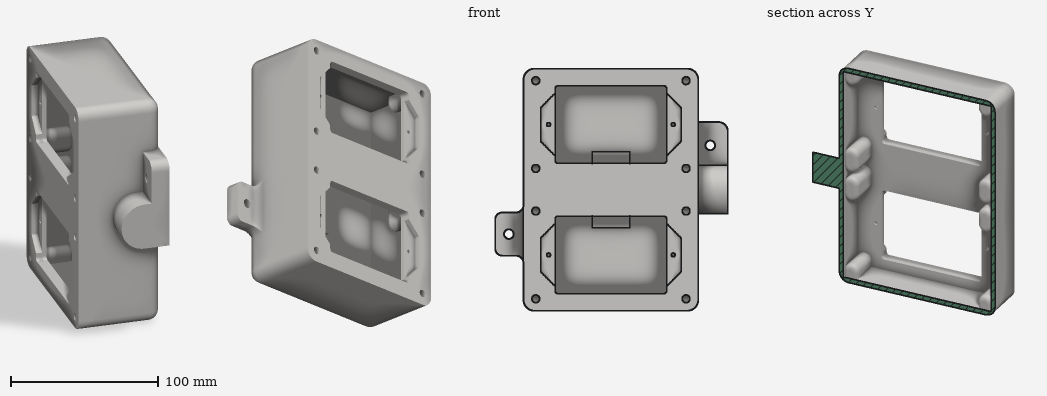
import cadquery as cq
import math

width = 118.8
height = 164.6
depth = 58.5
corner_radius = 7.5
side_wall = 3.3
end_wall = 3.8
back_wall = 4.1
front_wall = 7.5

opening_z = 44.3
opening_width = 75.9
opening_height = 52.8
opening_radius = 2.3
ear_span = 95.3
ear_tip_height = 23.0
ear_tip_radius = 1.5
ear_depth = 4.5
ear_hole_x = 42.3
ear_hole_diameter = 2.6

screw_x = 51.0
screw_offset_z = 29.8
screw_diameter = 5.3
screw_depth = 19.8
drill_point_angle = 118.0
boss_radius = 5.5
boss_stretch = 7.0
boss_end = 29.0
boss_end_round = 3.3

pad_width = 25.5
pad_height = 51.4
pad_thickness = 2.5

tab_hole_diameter = 6.5
tab_hole_z = 30.1

left_tab_reach = 19.3
left_tab_height = 29.5
left_tab_thickness = 10.2
left_tab_radius = 5.0
left_tab_flare = 5.1
left_hole_x = -69.3

right_reach = 20.0
right_tab_top = 46.1
right_tab_thickness = 12.7
right_tab_radius = 6.6
right_hole_x = 67.5
lug_radius = 16.5
lug_axis_from_back = 17.6

left_side = -width / 2
right_side = width / 2
opening_centers = (-opening_z, opening_z)
cavity_x = width / 2 - side_wall
cavity_z = height / 2 - end_wall
cavity_back = depth - back_wall

edge_axis_x = left_side + corner_radius
edge_axis_y = depth - corner_radius
flare_tip_x = left_side - left_tab_flare
flare_inset = left_tab_flare * (1 - math.sqrt(0.5))
flare_mid_x = left_side - flare_inset


def block(x_range, y_range, z_range):
    """Box given by its limits along each axis."""
    size = [high - low for low, high in (x_range, y_range, z_range)]
    corner = (x_range[0], y_range[0], z_range[0])
    return cq.Workplane("XY").box(*size, centered=False).translate(corner)


def rod(x, z, diameter, y_start, y_end):
    """Cylinder along Y."""
    return cq.Workplane("XZ", origin=(x, y_start, z)).circle(diameter / 2).extrude(y_start - y_end)


def make_body():
    """Solid body, rounded along its length and around its back."""
    body = block((left_side, right_side), (0, depth), (-height / 2, height / 2))
    body = body.edges("|Y").fillet(corner_radius)
    return body.faces(">Y").edges().fillet(corner_radius)


def make_boss(x, opening_center, direction):
    """Round-ended boss of stadium section, above (+1) or below (-1) an opening."""
    z = opening_center + direction * (screw_offset_z + boss_stretch / 2)
    boss = (
        cq.Workplane("XZ", origin=(x, 0, z))
        .slot2D(boss_stretch + 2 * boss_radius, 2 * boss_radius, 90)
        .extrude(-boss_end)
    )
    return boss.faces(">Y").edges().fillet(boss_end_round)


def make_cavity():
    """Inside of the enclosure, less the pad on the back wall and the screw bosses."""
    cavity = block((-cavity_x, cavity_x), (front_wall, cavity_back), (-cavity_z, cavity_z))
    pad = block(
        (-pad_width / 2, pad_width / 2),
        (cavity_back - pad_thickness, cavity_back),
        (-pad_height / 2, pad_height / 2),
    )
    cavity = cavity.cut(pad)
    for x in (-screw_x, screw_x):
        for opening_center in opening_centers:
            for direction in (-1, 1):
                cavity = cavity.cut(make_boss(x, opening_center, direction))
    return cavity


def upper_lower_flare():
    """Section of the flares above and below the left tab, seen along Y and centred on the tab."""
    half = left_tab_height / 2
    return (
        cq.Workplane("XZ", origin=(0, edge_axis_y, -tab_hole_z))
        .moveTo(edge_axis_x, -half - left_tab_flare)
        .lineTo(left_side, -half - left_tab_flare)
        .threePointArc((flare_mid_x, -half - flare_inset), (flare_tip_x, -half))
        .lineTo(flare_tip_x, half)
        .threePointArc((flare_mid_x, half + flare_inset), (left_side, half + left_tab_flare))
        .lineTo(edge_axis_x, half + left_tab_flare)
        .close()
    )


def make_left_flare():
    """Concave blend from the left tab to the side and the rounded back edge of the body."""
    tab_front = depth - left_tab_thickness
    straight = upper_lower_flare().extrude(edge_axis_y - tab_front + left_tab_flare)
    around_edge = upper_lower_flare().revolve(90, (edge_axis_x, 1.6, 0), (edge_axis_x, 0, 0))
    front_flare = (
        cq.Workplane("XY", origin=(0, 0, -tab_hole_z))
        .moveTo(edge_axis_x, tab_front - left_tab_flare)
        .lineTo(left_side, tab_front - left_tab_flare)
        .threePointArc((flare_mid_x, tab_front - flare_inset), (flare_tip_x, tab_front))
        .lineTo(flare_tip_x, depth)
        .lineTo(edge_axis_x, depth)
        .close()
        .extrude(left_tab_height / 2 + left_tab_flare, both=True)
    )
    return straight.union(around_edge).intersect(front_flare)


def make_left_tab():
    """Rounded tab with its flare, rooted in the body."""
    tab = block(
        (left_side - left_tab_reach, edge_axis_x),
        (depth - left_tab_thickness, depth),
        (-tab_hole_z - left_tab_height / 2, -tab_hole_z + left_tab_height / 2),
    )
    return tab.edges("|Y and <X").fillet(left_tab_radius).union(make_left_flare())


def make_right_tab():
    """Tab and lug in one piece, rooted in the body."""
    root_x = right_side - corner_radius
    end_x = right_side + right_reach
    lug_axis_y = depth - lug_axis_from_back
    tab = block((root_x, end_x), (depth - right_tab_thickness, depth), (0, right_tab_top))
    tab = tab.edges("|Y and >X and >Z").fillet(right_tab_radius)
    lug = block((root_x, end_x), (lug_axis_y, depth), (-lug_radius, lug_radius))
    lug_front = (
        cq.Workplane("YZ", origin=(root_x, lug_axis_y, 0))
        .circle(lug_radius)
        .extrude(end_x - root_x)
    )
    return tab.union(lug).union(lug_front)


def make_opening(z):
    """Window through the front wall, with its ear recesses and their holes."""
    window = block(
        (-opening_width / 2, opening_width / 2),
        (0, front_wall),
        (z - opening_height / 2, z + opening_height / 2),
    )
    opening = window.edges("|Y").fillet(opening_radius)

    tip_x = ear_span / 2
    tip_z = ear_tip_height / 2
    base_x = opening_width / 2
    base_z = tip_z + tip_x - base_x
    right_half = [(base_x, -base_z), (tip_x, -tip_z), (tip_x, tip_z), (base_x, base_z)]
    left_half = [(-corner_x, -corner_z) for corner_x, corner_z in right_half]
    ears = cq.Workplane("XZ", origin=(0, 0, z)).polyline(right_half + left_half).close()
    ears = ears.extrude(-ear_depth).edges("|Y and (<X or >X)").fillet(ear_tip_radius)
    opening = opening.union(ears)

    for x in (-ear_hole_x, ear_hole_x):
        opening = opening.union(rod(x, z, ear_hole_diameter, 0, front_wall))
    return opening


def make_screw_hole(x, z):
    """Blind drilled hole with a conical end."""
    radius = screw_diameter / 2
    tip_depth = screw_depth + radius / math.tan(math.radians(drill_point_angle / 2))
    half_section = [(0, 0), (radius, 0), (radius, screw_depth), (0, tip_depth)]
    hole = cq.Workplane("XY").polyline(half_section).close().revolve(360, (0, 0, 0), (0, 1, 0))
    return hole.translate((x, 0, z))


result = make_body().union(make_left_tab()).union(make_right_tab())
result = result.cut(make_cavity())

for opening_center in opening_centers:
    result = result.cut(make_opening(opening_center))
    for screw_z in (opening_center - screw_offset_z, opening_center + screw_offset_z):
        for hole_x in (-screw_x, screw_x):
            result = result.cut(make_screw_hole(hole_x, screw_z))

result = result.cut(rod(left_hole_x, -tab_hole_z, tab_hole_diameter, 0, depth))
result = result.cut(rod(right_hole_x, tab_hole_z, tab_hole_diameter, 0, depth))